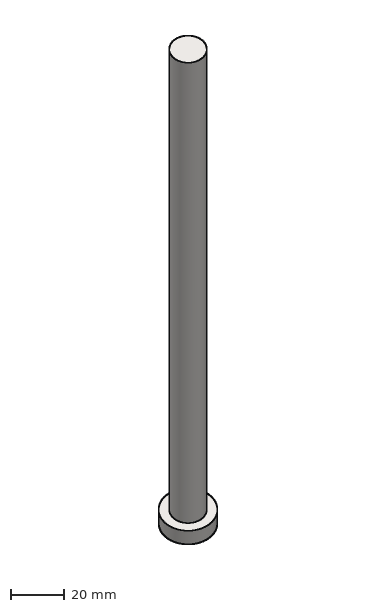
import cadquery as cq

total_length = 257.0
head_diameter = 22.0
head_height = 7.5
shank_diameter = 14.1

head = cq.Workplane("XY").circle(head_diameter / 2).extrude(head_height)
shank = cq.Workplane("XY").circle(shank_diameter / 2).extrude(total_length)

result = head.union(shank)